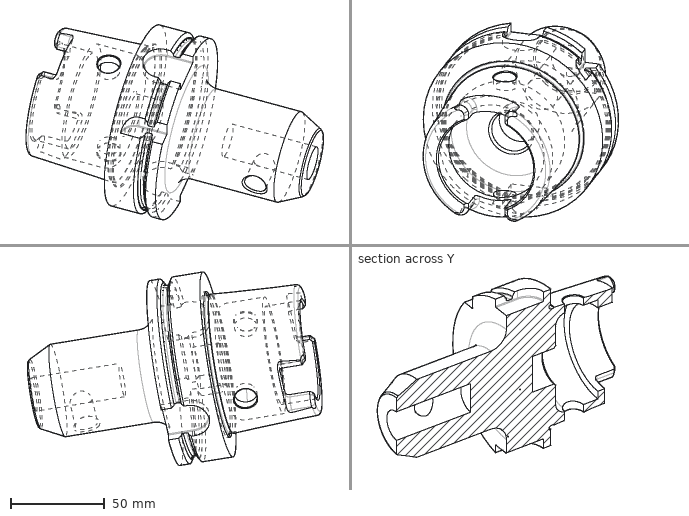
import cadquery as cq
import math

overall_length = 150.0
flange_start = 50.0
flange_width = 29.0
flange_end = flange_start + flange_width
flange_diameter = 100.0
flange_radius = flange_diameter / 2

taper_root_radius = 37.8
taper_slope = 1 / 20
taper_tip_round = 1.8
relief_width = 2.2
relief_depth = 0.3
face_groove_radius = 39.5
face_groove_depth = 1.0
face_groove_fillet = 1.4

groove_center = 69.9
groove_mouth_width = 6.9
groove_floor_width = 3.9
groove_bevel_depth = 2.2
groove_floor_radius = 46.2
groove_floor_fillet = 1.0

neck_radius = 25.0
neck_fillet = 10.0
nose_cone_start = 137.0
nose_tip_radius = 18.9
nose_tip_chamfer = 0.9

shank_bore_radius = 26.5
shank_bore_chamfer = 0.9
clamp_recess_start = 19.5
clamp_recess_radius = 31.5
clamp_recess_end = 40.0
bore_floor_radius = 24.9
bore_floor_fillet = clamp_recess_radius - bore_floor_radius
bore_floor_depth = clamp_recess_end + bore_floor_fillet
center_hole_radius = 12.6
center_hole_floor_radius = 11.2
center_hole_depth = 15.0
center_hole_chamfer = center_hole_radius - center_hole_floor_radius
tool_bore_radius = 9.0
tool_bore_depth = 48.0

slot_half_width = 10.0
slot_straight_height = 26.8
slot_flare_radius = 5.0
slot_floor_fillet = 2.1
slot_mouth_chamfer = 2.1
upper_slot_depth = 10.0
lower_slot_depth = 15.0

pocket_half_width = 9.9
pocket_start = 54.8
pocket_floor = 44.0
pocket_floor_fillet = 0.5
pocket_overrun = 3.0
notch_start = 55.2
notch_offset = 31.4
notch_corner_radius = 8.0

cross_hole_x = 35.0
cross_hole_radius = 6.0
cross_hole_chamfer = 0.5
screw_hole_x = 126.2
screw_hole_radius = 6.0
screw_hole_chamfer = 1.0


def body():
    tip_radius = taper_root_radius - taper_slope * flange_start
    relief_start = flange_start - relief_width
    relief_edge_radius = taper_root_radius - taper_slope * relief_width
    face_groove_floor = flange_start + face_groove_depth
    relief_radius = relief_edge_radius - relief_depth
    arc_half = neck_fillet * (1 - math.sqrt(0.5))
    profile = (
        cq.Workplane("XY")
        .moveTo(0, 0)
        .lineTo(0, tip_radius - taper_tip_round)
        .radiusArc((taper_tip_round, tip_radius + taper_slope * taper_tip_round), taper_tip_round)
        .lineTo(relief_start, relief_edge_radius)
        .lineTo(relief_start + relief_depth, relief_radius)
        .lineTo(face_groove_floor - face_groove_fillet, relief_radius)
        .radiusArc((face_groove_floor, relief_radius + face_groove_fillet), -face_groove_fillet)
        .lineTo(face_groove_floor, face_groove_radius)
        .lineTo(flange_start, face_groove_radius)
        .lineTo(flange_start, flange_radius)
        .lineTo(flange_end, flange_radius)
        .lineTo(flange_end, neck_radius + neck_fillet)
        .threePointArc(
            (flange_end + arc_half, neck_radius + arc_half), (flange_end + neck_fillet, neck_radius)
        )
        .lineTo(nose_cone_start, neck_radius)
        .lineTo(overall_length - nose_tip_chamfer, nose_tip_radius)
        .lineTo(overall_length, nose_tip_radius - nose_tip_chamfer)
        .lineTo(overall_length, 0)
        .close()
    )
    return profile.revolve(360, (0, 0, 0), (1, 0, 0))


def flange_groove():
    floor_half = groove_floor_width / 2
    bevel_run = (groove_mouth_width - groove_floor_width) / 2
    outer_half = floor_half + 2 * bevel_run
    outer_radius = flange_radius + groove_bevel_depth
    bevel_radius = flange_radius - groove_bevel_depth
    profile = (
        cq.Workplane("XY")
        .moveTo(groove_center - floor_half, groove_floor_radius)
        .lineTo(groove_center + floor_half, groove_floor_radius)
        .lineTo(groove_center + floor_half, bevel_radius)
        .lineTo(groove_center + outer_half, outer_radius)
        .lineTo(groove_center - outer_half, outer_radius)
        .lineTo(groove_center - floor_half, bevel_radius)
        .close()
    )
    ring = profile.revolve(360, (0, 0, 0), (1, 0, 0))
    return ring.edges(cq.selectors.RadiusNthSelector(0)).fillet(groove_floor_fillet)


def shank_bore():
    center_hole_end = bore_floor_depth + center_hole_depth
    profile = (
        cq.Workplane("XY")
        .moveTo(0, 0)
        .lineTo(0, shank_bore_radius + shank_bore_chamfer)
        .lineTo(shank_bore_chamfer, shank_bore_radius)
        .lineTo(clamp_recess_start, shank_bore_radius)
        .lineTo(clamp_recess_start, clamp_recess_radius)
        .lineTo(clamp_recess_end, clamp_recess_radius)
        .radiusArc((bore_floor_depth, bore_floor_radius), bore_floor_fillet)
        .lineTo(bore_floor_depth, center_hole_radius)
        .lineTo(bore_floor_depth + center_hole_chamfer, center_hole_floor_radius)
        .lineTo(center_hole_end, center_hole_floor_radius)
        .lineTo(center_hole_end, 0)
        .close()
    )
    return profile.revolve(360, (0, 0, 0), (1, 0, 0))


def slot_profile(grow):
    """Outline of a drive slot in the YZ plane, widened all round by `grow`."""
    half = slot_half_width + grow
    flare = slot_flare_radius - grow
    flare_end = half + flare
    top = slot_straight_height + flare
    outer = flange_radius
    return (
        cq.Workplane("YZ")
        .moveTo(-half, 0)
        .lineTo(-half, slot_straight_height)
        .radiusArc((-flare_end, top), -flare)
        .lineTo(-outer, top)
        .lineTo(-outer, outer)
        .lineTo(outer, outer)
        .lineTo(outer, top)
        .lineTo(flare_end, top)
        .radiusArc((half, slot_straight_height), -flare)
        .lineTo(half, 0)
        .close()
    )


def drive_slot(depth):
    slot = slot_profile(0).extrude(depth).faces(">X").edges().fillet(slot_floor_fillet)
    mouth_run = 2 * slot_mouth_chamfer
    mouth = (
        slot_profile(mouth_run)
        .extrude(mouth_run, taper=45)
        .translate((-slot_mouth_chamfer, 0, 0))
    )
    return slot.union(mouth)


def flange_pocket():
    end_center = pocket_start + pocket_half_width
    size = 2 * pocket_half_width
    length = flange_end + pocket_overrun - end_center
    plane = cq.Workplane("XY").workplane(offset=pocket_floor)
    straight = plane.center(end_center + length / 2, 0).rect(length, size).extrude(flange_radius)
    end = plane.center(end_center, 0).circle(pocket_half_width).extrude(flange_radius)
    return straight.union(end).faces("<Z").edges().fillet(pocket_floor_fillet)


def flange_notch():
    size = flange_radius
    return (
        cq.Workplane("XY")
        .workplane(offset=notch_offset)
        .center(notch_start, -notch_offset)
        .rect(flange_end + pocket_overrun - notch_start, -size, centered=False)
        .extrude(size)
        .edges("|Z and <X and >Y")
        .fillet(notch_corner_radius)
        .faces("<Z")
        .edges(">Y")
        .fillet(pocket_floor_fillet)
    )


def mouth_edge(x, y, z):
    return cq.NearestToPointSelector((x, y, z))


def turned_over(shape):
    return shape.rotate((0, 0, 0), (1, 0, 0), 180)


tool_bore = (
    cq.Workplane("YZ")
    .workplane(offset=overall_length)
    .circle(tool_bore_radius)
    .extrude(-tool_bore_depth)
)

cross_hole_surface = taper_root_radius - taper_slope * (flange_start - cross_hole_x)
cross_hole = (
    cq.Workplane("XY").center(cross_hole_x, 0).circle(cross_hole_radius).extrude(flange_radius, both=True)
)
screw_hole = (
    cq.Workplane("XZ").center(screw_hole_x, 0).circle(screw_hole_radius).extrude(flange_radius)
)

result = (
    body()
    .cut(flange_groove())
    .cut(shank_bore())
    .cut(tool_bore)
    .cut(cross_hole)
    .cut(screw_hole)
    .edges(mouth_edge(cross_hole_x, 0, cross_hole_surface))
    .chamfer(cross_hole_chamfer)
    .edges(mouth_edge(cross_hole_x, 0, -cross_hole_surface))
    .chamfer(cross_hole_chamfer)
    .edges(mouth_edge(screw_hole_x, -neck_radius, 0))
    .chamfer(screw_hole_chamfer)
    .cut(drive_slot(upper_slot_depth))
    .cut(turned_over(drive_slot(lower_slot_depth)))
    .cut(flange_pocket())
    .cut(turned_over(flange_pocket()))
    .cut(flange_notch())
)